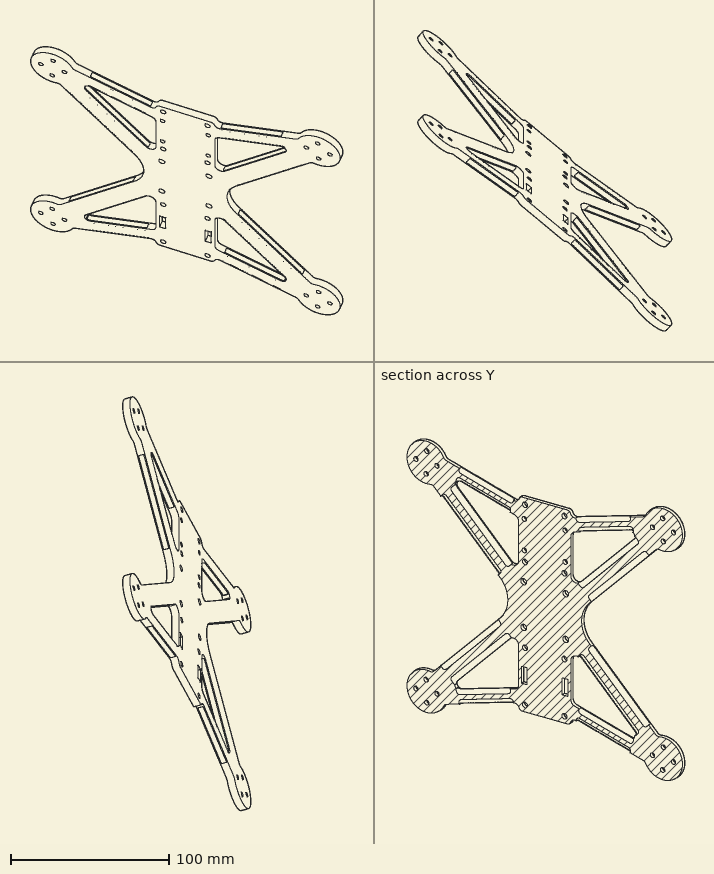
import cadquery as cq
import math

THICKNESS = 5.0
BODY_HALF_WIDTH = 20.0
BODY_HALF_HEIGHT = 75.0

MOTOR_X = 90.0
MOTOR_Z = 80.0
MOTOR_RADIUS = 15.0
MOTOR_BOLT_RADIUS = 8.0
MOTOR_HOLE_DIAMETER = 3.0
MOTOR_BOLT_ANGLE = 2.0
MOTOR_HOLE_COUNT = 4

SHALLOW_OUTER_Z = 70.0
SHALLOW_INNER_Z = 60.0
SHALLOW_SLOPE = 0.28

WAIST_RADIUS = 20.0
BODY_CORNER_RADIUS = 3.0
ARM_ROOT_RADIUS = 3.0
MOTOR_BLEND_RADIUS = 3.0
WINDOW_TIP_RADIUS = 3.0
WINDOW_BODY_RADIUS = 4.0

GROOVE_WALL = 0.75
GROOVE_WIDTH = THICKNESS - 2 * GROOVE_WALL
GROOVE_FLOOR_RADIUS = 0.5
DIAGONAL_GROOVE_DEPTH = 4.0
SHALLOW_GROOVE_DEPTH = 3.0
GROOVE_END_RADIUS = 2.0
GROOVE_OVERSHOOT = 1.0
DIAGONAL_GROOVE_START = 36.2
DIAGONAL_GROOVE_END = 97.8
SHALLOW_GROOVE_START_X = 23.8
SHALLOW_GROOVE_END_X = 64.7

BODY_HOLES = [
    (3.5, 15.0, (70.0, 30.0, -30.0, -70.0)),
    (3.0, 15.5, (60.0, 38.0)),
    (4.0, 16.0, (16.0, -16.0)),
]
STRAP_SLOT_X = 15.5
STRAP_SLOT_Z = -49.5
STRAP_SLOT_WIDTH = 4.0
STRAP_SLOT_HEIGHT = 11.5

SIDES = (-1, 1)
DIAGONAL_ANGLE = math.radians(45)
SHALLOW_ANGLE = math.atan(SHALLOW_SLOPE)


def plane():
    """Sketch plane in the middle of the plate thickness, with x along X and y along Z."""
    return cq.Workplane("XZ")


def extrude_through(sketch):
    """Extrude a sketch through the full plate thickness."""
    return sketch.extrude(THICKNESS / 2, both=True)


def mirrored_four_ways(quarter):
    """Copies of a quarter in all four quadrants of the XZ plane."""
    half = quarter.union(quarter.mirror("YZ"))
    return half.union(half.mirror("XY"))


def fillet_corner(solid, point, radius):
    """Round the through edge that passes nearest to an (x, z) point."""
    selector = cq.selectors.NearestToPointSelector((point[0], 0, point[1]))
    return solid.edges("|Y").edges(selector).fillet(radius)


def motor_corner(line_x, line_z, angle):
    """Where a bar edge through (line_x, line_z) enters the motor disc."""
    ux, uz = math.cos(angle), math.sin(angle)
    dx, dz = MOTOR_X - line_x, MOTOR_Z - line_z
    along = dx * ux + dz * uz
    offset = dx * uz - dz * ux
    reach = along - math.sqrt(MOTOR_RADIUS**2 - offset**2)
    return line_x + reach * ux, line_z + reach * uz


def on_circle(center, radius, angle):
    """The (x, z) point of a circle at an angle from +X."""
    return center[0] + radius * math.cos(angle), center[1] + radius * math.sin(angle)


def make_window():
    apex = (SHALLOW_INNER_Z - SHALLOW_SLOPE * BODY_HALF_WIDTH) / (1 - SHALLOW_SLOPE)
    root = (BODY_HALF_WIDTH, BODY_HALF_WIDTH)
    top = (BODY_HALF_WIDTH, SHALLOW_INNER_Z)
    tip = (apex, apex)
    window = extrude_through(plane().polyline([root, top, tip]).close())
    window = fillet_corner(window, root, WINDOW_BODY_RADIUS)
    window = fillet_corner(window, top, WINDOW_BODY_RADIUS)
    return fillet_corner(window, tip, WINDOW_TIP_RADIUS)


def arm_root_arcs():
    """Points of the arm root arc and the body corner arc, which run tangent into each other."""
    corner = (BODY_HALF_WIDTH - BODY_CORNER_RADIUS, BODY_HALF_HEIGHT - BODY_CORNER_RADIUS)
    ux, uz = math.cos(SHALLOW_ANGLE), math.sin(SHALLOW_ANGLE)
    base_x = BODY_HALF_WIDTH - ARM_ROOT_RADIUS * uz
    base_z = SHALLOW_OUTER_Z + ARM_ROOT_RADIUS * ux
    dx, dz = corner[0] - base_x, corner[1] - base_z
    along = dx * ux + dz * uz
    offset = dx * uz - dz * ux
    along += math.sqrt((BODY_CORNER_RADIUS + ARM_ROOT_RADIUS) ** 2 - offset**2)
    root = (base_x + along * ux, base_z + along * uz)

    start_angle = SHALLOW_ANGLE - math.pi / 2
    touch_angle = math.atan2(root[1] - corner[1], root[0] - corner[0])
    root_end_angle = touch_angle - math.pi
    start = on_circle(root, ARM_ROOT_RADIUS, start_angle)
    root_mid = on_circle(root, ARM_ROOT_RADIUS, (start_angle + root_end_angle) / 2)
    touch = on_circle(root, ARM_ROOT_RADIUS, root_end_angle)
    corner_mid = on_circle(corner, BODY_CORNER_RADIUS, (touch_angle + math.pi / 2) / 2)
    end = on_circle(corner, BODY_CORNER_RADIUS, math.pi / 2)
    return start, root_mid, touch, corner_mid, end


def make_quarter():
    diagonal_end = MOTOR_X - BODY_HALF_WIDTH
    shallow_end = SHALLOW_OUTER_Z + SHALLOW_SLOPE * diagonal_end
    start, root_mid, touch, corner_mid, end = arm_root_arcs()
    outline = (
        plane()
        .polyline([(0, 0), (BODY_HALF_WIDTH, 0), (MOTOR_X, diagonal_end), (MOTOR_X, shallow_end), start])
        .threePointArc(root_mid, touch)
        .threePointArc(corner_mid, end)
        .lineTo(0, BODY_HALF_HEIGHT)
        .close()
    )
    disc = extrude_through(plane().center(MOTOR_X, MOTOR_Z).circle(MOTOR_RADIUS))
    quarter = extrude_through(outline).union(disc)
    for corner in (
        motor_corner(BODY_HALF_WIDTH, 0, DIAGONAL_ANGLE),
        motor_corner(BODY_HALF_WIDTH, SHALLOW_OUTER_Z, SHALLOW_ANGLE),
    ):
        quarter = fillet_corner(quarter, corner, MOTOR_BLEND_RADIUS)
    return quarter


def make_outline():
    outline = mirrored_four_ways(make_quarter()).clean()
    for side in SIDES:
        outline = fillet_corner(outline, (side * BODY_HALF_WIDTH, 0), WAIST_RADIUS)
    return outline


def make_groove(start, length, depth, angle):
    """Groove from an (x, z) start along a bar edge; depth is positive when the bar lies above the edge."""
    groove = (
        cq.Workplane("XY")
        .box(length, GROOVE_WIDTH, abs(depth) + GROOVE_OVERSHOOT, centered=(False, True, False))
        .translate((0, 0, -GROOVE_OVERSHOOT))
        .edges("|Y and >Z")
        .fillet(GROOVE_END_RADIUS)
        .edges("|X and >Z")
        .fillet(GROOVE_FLOOR_RADIUS)
    )
    if depth < 0:
        groove = groove.mirror("XY")
    turned = groove.rotate((0, 0, 0), (0, 1, 0), -math.degrees(angle))
    return turned.translate((start[0], 0, start[1]))


def make_bar_grooves(upper_start, bar_width, length, depth, angle):
    """Grooves in the upper and lower edges of one bar, facing each other."""
    lower_start = (
        upper_start[0] + bar_width * math.sin(angle),
        upper_start[1] - bar_width * math.cos(angle),
    )
    upper = make_groove(upper_start, length, -depth, angle)
    lower = make_groove(lower_start, length, depth, angle)
    return upper.union(lower)


def make_diagonal_grooves():
    return make_bar_grooves(
        on_circle((0, 0), DIAGONAL_GROOVE_START, DIAGONAL_ANGLE),
        BODY_HALF_WIDTH * math.sin(DIAGONAL_ANGLE),
        DIAGONAL_GROOVE_END - DIAGONAL_GROOVE_START,
        DIAGONAL_GROOVE_DEPTH,
        DIAGONAL_ANGLE,
    )


def make_shallow_grooves():
    rise = SHALLOW_SLOPE * (SHALLOW_GROOVE_START_X - BODY_HALF_WIDTH)
    return make_bar_grooves(
        (SHALLOW_GROOVE_START_X, SHALLOW_OUTER_Z + rise),
        (SHALLOW_OUTER_Z - SHALLOW_INNER_Z) * math.cos(SHALLOW_ANGLE),
        (SHALLOW_GROOVE_END_X - SHALLOW_GROOVE_START_X) / math.cos(SHALLOW_ANGLE),
        SHALLOW_GROOVE_DEPTH,
        SHALLOW_ANGLE,
    )


def make_motor_holes():
    mount = plane().center(MOTOR_X, MOTOR_Z)
    pattern = mount.polarArray(MOTOR_BOLT_RADIUS, MOTOR_BOLT_ANGLE, 360, MOTOR_HOLE_COUNT)
    return extrude_through(pattern.circle(MOTOR_HOLE_DIAMETER / 2))


def cut_body_openings(solid):
    for diameter, x, heights in BODY_HOLES:
        points = [(side * x, z) for side in SIDES for z in heights]
        solid = solid.cut(extrude_through(plane().pushPoints(points).circle(diameter / 2)))
    slots = plane().pushPoints([(side * STRAP_SLOT_X, STRAP_SLOT_Z) for side in SIDES])
    return solid.cut(extrude_through(slots.rect(STRAP_SLOT_WIDTH, STRAP_SLOT_HEIGHT)))


result = make_outline()
arm_cuts = (make_window(), make_motor_holes(), make_diagonal_grooves(), make_shallow_grooves())
for arm_cut in arm_cuts:
    result = result.cut(mirrored_four_ways(arm_cut))
result = cut_body_openings(result)